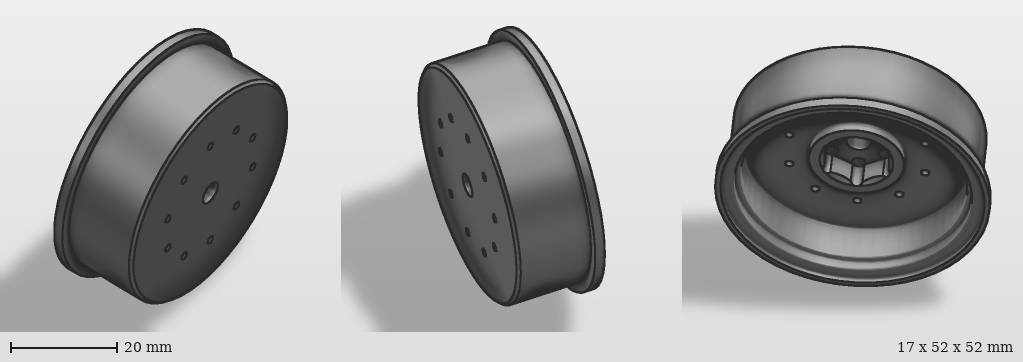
import cadquery as cq
import math

width = 17.0
flange_radius = 26.0
flange_width = 2.0
rim_radius = 23.95
rim_chamfer = 0.6
edge_fillet = 0.4

mouth_radius = 25.0
mouth_depth = 1.0
seat_radius = 22.5
seat_depth = 3.0
cavity_radius = 21.45
cavity_depth = 10.5

boss_radius = 9.0
boss_height = 2.0
socket_flats = 12.15
socket_corner_radius = socket_flats / math.sqrt(3)
socket_depth = 4.9
socket_mouth_radius = 6.95
socket_mouth_angle = 45.0
relief_radius = 1.25
relief_circle_radius = 5.8
relief_depth = socket_depth
relief_tip_angle = 118.0
socket_sides = 6
axle_hole_radius = 2.3

web_hole_radius = 0.8
web_hole_circle_radius = 13.5
web_hole_count = 10

boss_face = cavity_depth - boss_height


def plane_at(x):
    """Plane facing +X, with local axes along Y and Z."""
    return cq.Workplane("YZ", origin=(x, 0, 0))


def ring_points(count, radius):
    """Evenly spaced points on a circle, the first one on +Z."""
    angles = [math.pi / 2 + 2 * math.pi * i / count for i in range(count)]
    return [(radius * math.cos(a), radius * math.sin(a)) for a in angles]


def make_rim():
    flange = plane_at(0).circle(flange_radius).extrude(flange_width)
    rim = plane_at(0).circle(rim_radius).extrude(width)
    return flange.union(rim.faces(">X").chamfer(rim_chamfer))


def make_cavity():
    """Stepped recess around the boss, with rounded steps and root corners."""
    mouth = plane_at(0).circle(mouth_radius).extrude(mouth_depth)
    seat = plane_at(0).circle(seat_radius).extrude(seat_depth)
    well = plane_at(0).circle(cavity_radius).extrude(cavity_depth)
    boss = plane_at(boss_face).circle(boss_radius).extrude(boss_height)
    cavity = mouth.union(seat).union(well).cut(boss)

    def step_edges(x, radius):
        tolerance = 0.005
        reach = radius + tolerance
        selector = cq.selectors.BoxSelector(
            (x - tolerance, -reach, -reach), (x + tolerance, reach, reach), boundingbox=True
        )
        return [
            edge for edge in cavity.edges("%CIRCLE").edges(selector).vals()
            if abs(edge.radius() - radius) < tolerance
        ]

    rounded_steps = [
        (mouth_depth, mouth_radius),
        (mouth_depth, seat_radius),
        (seat_depth, seat_radius),
        (seat_depth, cavity_radius),
        (cavity_depth, cavity_radius),
        (cavity_depth, boss_radius),
    ]
    edges = [edge for x, radius in rounded_steps for edge in step_edges(x, radius)]
    return cavity.newObject(edges).fillet(edge_fillet)


def make_socket():
    """Hexagonal socket with corners on Z, a conical lead-in and corner reliefs."""
    corners = ring_points(socket_sides, socket_corner_radius)
    socket = plane_at(boss_face).polyline(corners).close().extrude(socket_depth)

    flat_radius = socket_flats / 2
    cone_depth = (socket_mouth_radius - flat_radius) * math.tan(math.radians(socket_mouth_angle))
    lead_in = cq.Solid.makeCone(
        socket_mouth_radius, flat_radius, cone_depth, cq.Vector(boss_face, 0, 0), cq.Vector(1, 0, 0)
    )

    tip_length = relief_radius / math.tan(math.radians(relief_tip_angle / 2))
    centers = ring_points(socket_sides, relief_circle_radius)
    reliefs = plane_at(boss_face).pushPoints(centers).circle(relief_radius).extrude(relief_depth)
    for y, z in centers:
        tip = cq.Solid.makeCone(
            relief_radius, 0, tip_length,
            cq.Vector(boss_face + relief_depth, y, z), cq.Vector(1, 0, 0),
        )
        reliefs = reliefs.union(cq.Workplane(tip))
    return socket.union(cq.Workplane(lead_in)).union(reliefs)


def make_through_holes():
    web_centers = ring_points(web_hole_count, web_hole_circle_radius)
    web_holes = plane_at(0).pushPoints(web_centers).circle(web_hole_radius).extrude(width)
    return web_holes.union(plane_at(0).circle(axle_hole_radius).extrude(width))


result = make_rim().cut(make_cavity()).cut(make_socket()).cut(make_through_holes())